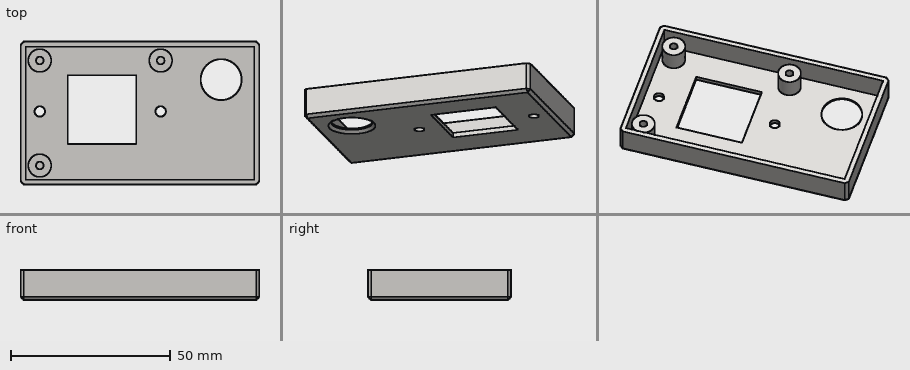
import cadquery as cq

LENGTH = 75.0
WIDTH = 45.0
HEIGHT = 9.5
WALL = 1.6
FLOOR = 1.5
EDGE_CHAMFER = 1.0

BOSS_DIAMETER = 7.2
BOSS_HEIGHT = 6.5
PILOT_DIAMETER = 2.4
LEFT_COLUMN_X = -31.5
COLUMN_SPACING = 38.0
RIGHT_COLUMN_X = LEFT_COLUMN_X + COLUMN_SPACING
BOSS_Y = 16.5
BOSS_CENTRES = [
    (LEFT_COLUMN_X, BOSS_Y),
    (RIGHT_COLUMN_X, BOSS_Y),
    (LEFT_COLUMN_X, -BOSS_Y),
]

SMALL_HOLE_DIAMETER = 3.2
SMALL_HOLE_Y = 0.5
SMALL_HOLE_CENTRES = [(x, SMALL_HOLE_Y) for x in (LEFT_COLUMN_X, RIGHT_COLUMN_X)]
LARGE_HOLE_DIAMETER = 12.8
LARGE_HOLE_CENTRE = (25.5, 10.5)
LARGE_HOLE_CHAMFER = 1.0
WINDOW_SIZE = 21.5
WINDOW_CENTRE = (-11.95, 1.05)


def make_tray():
    """Open-topped box with its corners and bottom edges chamfered."""
    body = cq.Workplane("XY").box(LENGTH, WIDTH, HEIGHT, centered=(True, True, False))
    body = body.edges("|Z or <Z").chamfer(EDGE_CHAMFER)
    cavity = (
        cq.Workplane("XY", origin=(0, 0, FLOOR))
        .rect(LENGTH - 2 * WALL, WIDTH - 2 * WALL)
        .extrude(HEIGHT - FLOOR)
    )
    return body.cut(cavity)


def make_bosses():
    """Hollow cylindrical bosses resting on the floor."""
    return (
        cq.Workplane("XY", origin=(0, 0, FLOOR))
        .pushPoints(BOSS_CENTRES)
        .circle(BOSS_DIAMETER / 2)
        .circle(PILOT_DIAMETER / 2)
        .extrude(BOSS_HEIGHT)
    )


def make_large_hole():
    """Cutter for the large hole, which widens at 45 degrees towards the underside."""
    radius = LARGE_HOLE_DIAMETER / 2
    mouth_radius = radius + LARGE_HOLE_CHAMFER
    profile = (
        cq.Workplane("XZ")
        .moveTo(0, 0)
        .lineTo(mouth_radius, 0)
        .lineTo(radius, LARGE_HOLE_CHAMFER)
        .lineTo(radius, FLOOR)
        .lineTo(0, FLOOR)
        .close()
    )
    return profile.revolve(360, (0, 0), (0, 1)).translate((*LARGE_HOLE_CENTRE, 0))


def make_floor_openings():
    """Cutter for the two small holes, the square window and the large hole."""
    plane = cq.Workplane("XY")
    small_holes = plane.pushPoints(SMALL_HOLE_CENTRES).circle(SMALL_HOLE_DIAMETER / 2).extrude(FLOOR)
    window = plane.center(*WINDOW_CENTRE).rect(WINDOW_SIZE, WINDOW_SIZE).extrude(FLOOR)
    return small_holes.union(window).union(make_large_hole())


result = make_tray().union(make_bosses()).cut(make_floor_openings())